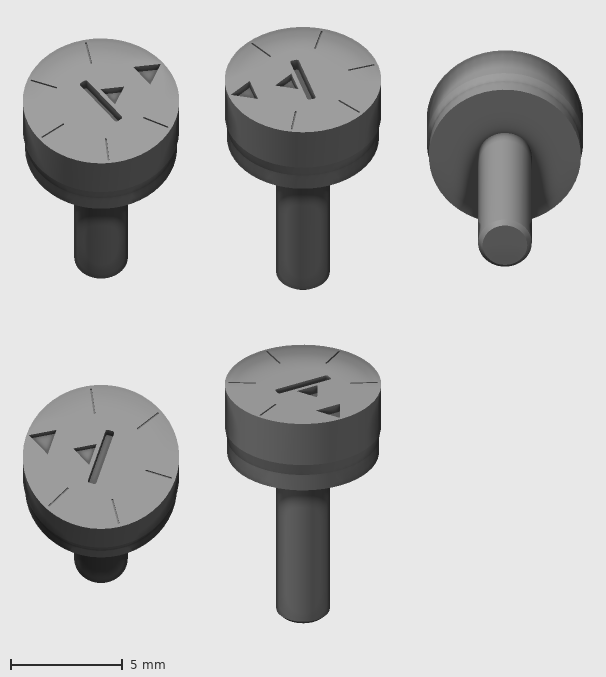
import cadquery as cq
import math

total_height = 11.8
ring_height = 3.5
ring_rim_height = 0.8

ring_diameter = 7.0
ring_rim_diameter = 6.8
insert_diameter = 4.0
stem_diameter = 2.4

ring_taper_angle = 10.0
stem_chamfer = 0.2

arrow_depth = 0.4
ring_arrow_base_y = 2.3
ring_arrow_width = 1.25
insert_arrow_base_y = 0.38
insert_arrow_width = 1.07

slot_length = 2.7
slot_width = 0.4
slot_depth = 0.6
slot_corner_radius = 0.1

groove_middle_angle = -90.0
groove_pitch_angle = 58.0
grooves_per_side = 2
groove_inner_radius = 2.1
groove_length = 1.25
groove_width = 0.08
groove_depth = 0.1


def cylinder_down(diameter, height):
    """Solid cylinder hanging below the top face."""
    return cq.Workplane("XY").circle(diameter / 2).extrude(-height)


def arrow_cutter(base_y, width):
    """Equilateral triangular prism that points along +Y and sinks into the top face."""
    length = width * math.sqrt(3) / 2
    corners = [(-width / 2, base_y), (width / 2, base_y), (0, base_y + length)]
    return cq.Workplane("XY").polyline(corners).close().extrude(-arrow_depth)


def groove_cutter(angle):
    """Narrow round-ended radial groove at the given angle around the axis."""
    return (
        cq.Workplane("XY")
        .center(groove_inner_radius + groove_length / 2, 0)
        .slot2D(groove_length, groove_width)
        .extrude(-groove_depth)
        .rotate((0, 0, 0), (0, 0, 1), angle)
    )


def make_ring():
    """Outer ring: tapers to a smaller rim below, with marks on its top face."""
    top_radius = ring_diameter / 2
    rim_radius = ring_rim_diameter / 2
    bore_radius = insert_diameter / 2
    taper_height = (top_radius - rim_radius) / math.tan(math.radians(ring_taper_angle))
    rim_top = ring_rim_height - ring_height
    profile = [
        (bore_radius, 0),
        (top_radius, 0),
        (top_radius, rim_top + taper_height),
        (rim_radius, rim_top),
        (rim_radius, -ring_height),
        (bore_radius, -ring_height),
    ]
    ring = cq.Workplane("XZ").polyline(profile).close().revolve(360, (0, 0), (0, 1))
    ring = ring.cut(arrow_cutter(ring_arrow_base_y, ring_arrow_width))
    for step in range(-grooves_per_side, grooves_per_side + 1):
        ring = ring.cut(groove_cutter(groove_middle_angle + step * groove_pitch_angle))
    return ring


def make_insert():
    """Rotary insert: fills the ring bore and carries the chamfered stem."""
    stem = cylinder_down(stem_diameter, total_height).faces("<Z").chamfer(stem_chamfer)
    slot = (
        cq.Workplane("XY")
        .rect(slot_length, slot_width)
        .extrude(-slot_depth)
        .edges("|Z")
        .fillet(slot_corner_radius)
    )
    arrow = arrow_cutter(insert_arrow_base_y, insert_arrow_width)
    return cylinder_down(insert_diameter, ring_height).union(stem).cut(slot).cut(arrow)


ring = make_ring()
insert = make_insert()

result = cq.Compound.makeCompound([ring.val(), insert.val()])